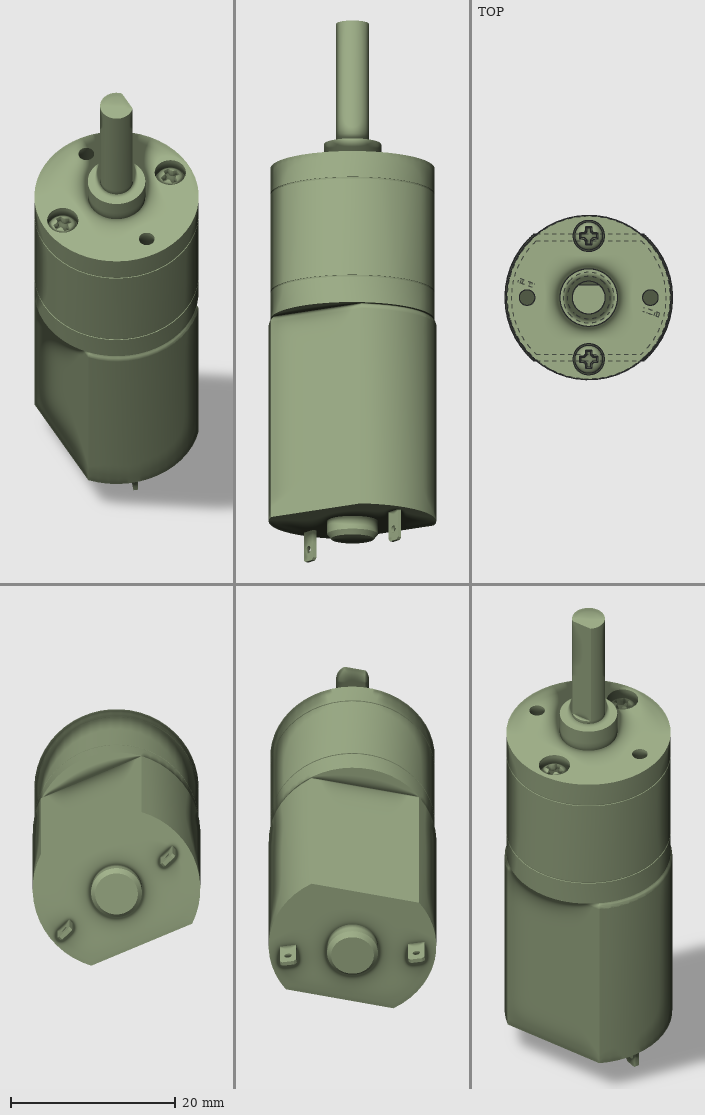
import cadquery as cq
import math


gearbox_diameter = 20.0
gearbox_length = 18.8
end_plate_thickness = 3.2
seam_width = 0.2
seam_depth = 0.1

boss_diameter = 7.0
boss_height = 3.0
shaft_diameter = 4.0
shaft_top = 18.0
shaft_flat_offset = 1.5
round_shaft_length = 0.4

bolt_circle_radius = 7.5
mount_hole_diameter = 1.9
screw_pocket_diameter = 3.8
screw_pocket_depth = 1.6
screw_head_diameter = 3.4
screw_head_height = 1.2
screw_head_edge_height = 0.4
cross_length = 2.4
cross_width = 0.9
cross_corner_chamfer = 0.15
cross_draft_angle = 15.0
cross_depth = 0.9

motor_diameter = 20.4
motor_width = 15.4
motor_length = 25.1
motor_edge_radius = 0.8

cap_diameter = 6.2
cap_height = 2.2
cap_chamfer_height = 0.6
cap_chamfer_width = 0.5

terminal_x = 7.6
terminal_y = 1.78
terminal_angle = 20.0
terminal_width = 2.0
terminal_thickness = 0.5
terminal_length = 3.7
terminal_tip_chamfer = 0.3
terminal_hole_diameter = 0.9
terminal_hole_to_tip = 1.4

motor_bottom = -gearbox_length - motor_length
overlap = 0.5


def cylinder(diameter, bottom, height):
    return cq.Workplane("XY").workplane(offset=bottom).circle(diameter / 2).extrude(height)


def make_gearbox():
    body = cylinder(gearbox_diameter, -gearbox_length, gearbox_length)
    upper_seam_bottom = -end_plate_thickness - seam_width
    lower_seam_bottom = -gearbox_length + end_plate_thickness
    for seam_bottom in (upper_seam_bottom, lower_seam_bottom):
        seam = (
            cq.Workplane("XY")
            .workplane(offset=seam_bottom)
            .circle(gearbox_diameter / 2 + overlap)
            .circle(gearbox_diameter / 2 - seam_depth)
            .extrude(seam_width)
        )
        body = body.cut(seam)
    return body


def make_output_shaft():
    boss = cylinder(boss_diameter, -overlap, boss_height + overlap)
    shaft = cylinder(shaft_diameter, 0, shaft_top)
    flat_bottom = boss_height + round_shaft_length
    flat_cut = (
        cq.Workplane("XY")
        .box(shaft_diameter, shaft_diameter, shaft_top, centered=(True, False, False))
        .translate((0, shaft_flat_offset, flat_bottom))
    )
    return boss.union(shaft.cut(flat_cut))


def make_cross_recess():
    """Four-armed driver recess, narrowing downward, with beveled inner corners."""
    tip = cross_length / 2
    side = cross_width / 2
    bevel = side + cross_corner_chamfer
    arm = ((bevel, -side), (tip, -side), (tip, side), (bevel, side))
    outline = []
    for cosine, sine in ((1, 0), (0, 1), (-1, 0), (0, -1)):
        for x, y in arm:
            outline.append((x * cosine - y * sine, x * sine + y * cosine))
    return (
        cq.Workplane("XY")
        .workplane(offset=screw_head_height)
        .polyline(outline)
        .close()
        .extrude(-cross_depth, taper=cross_draft_angle)
    )


def make_screw_head():
    """Domed screw head standing on Z = 0, with a cross recess in its top."""
    radius = screw_head_diameter / 2
    dome_height = screw_head_height - screw_head_edge_height
    dome_radius = (radius**2 + dome_height**2) / (2 * dome_height)
    half_angle = math.asin(radius / dome_radius) / 2
    dome_middle = (
        dome_radius * math.sin(half_angle),
        screw_head_height - dome_radius * (1 - math.cos(half_angle)),
    )
    head = (
        cq.Workplane("XZ")
        .moveTo(0, -overlap)
        .lineTo(radius, -overlap)
        .lineTo(radius, screw_head_edge_height)
        .threePointArc(dome_middle, (0, screw_head_height))
        .close()
        .revolve(360, (0, 0, 0), (0, 1, 0))
    )
    return head.cut(make_cross_recess())


def make_motor():
    can = cylinder(motor_diameter, motor_bottom, motor_length)
    flats = (
        cq.Workplane("XY")
        .box(motor_diameter, motor_width, motor_length, centered=(True, True, False))
        .translate((0, 0, motor_bottom))
    )
    return can.intersect(flats).faces(">Z").edges().fillet(motor_edge_radius)


def make_bearing_cap():
    radius = cap_diameter / 2
    return (
        cq.Workplane("XZ")
        .moveTo(0, overlap)
        .lineTo(radius, overlap)
        .lineTo(radius, cap_chamfer_height - cap_height)
        .lineTo(radius - cap_chamfer_width, -cap_height)
        .lineTo(0, -cap_height)
        .close()
        .revolve(360, (0, 0, 0), (0, 1, 0))
        .translate((0, 0, motor_bottom))
    )


def make_terminal():
    """Solder tab at the -X side of the motor's rear face."""
    blade = (
        cq.Workplane("XY")
        .box(terminal_width, terminal_thickness, terminal_length + overlap)
        .translate((0, 0, (overlap - terminal_length) / 2))
        .faces("<Z")
        .edges("|Y")
        .chamfer(terminal_tip_chamfer)
    )
    hole = (
        cq.Workplane("XZ")
        .center(0, terminal_hole_to_tip - terminal_length)
        .circle(terminal_hole_diameter / 2)
        .extrude(terminal_thickness, both=True)
    )
    return (
        blade.cut(hole)
        .rotate((0, 0, 0), (0, 0, 1), -terminal_angle)
        .translate((-terminal_x, terminal_y, motor_bottom))
    )


result = make_gearbox().union(make_motor()).union(make_output_shaft()).union(make_bearing_cap())

for side in (-1, 1):
    mount_hole = cylinder(mount_hole_diameter, -end_plate_thickness, end_plate_thickness)
    result = result.cut(mount_hole.translate((side * bolt_circle_radius, 0, 0)))

    screw_y = side * bolt_circle_radius
    screw_pocket = cylinder(screw_pocket_diameter, -screw_pocket_depth, screw_pocket_depth)
    result = result.cut(screw_pocket.translate((0, screw_y, 0)))
    result = result.union(make_screw_head().translate((0, screw_y, -screw_pocket_depth)))

terminal = make_terminal()
for turn in (0, 180):
    result = result.union(terminal.rotate((0, 0, 0), (0, 0, 1), turn))